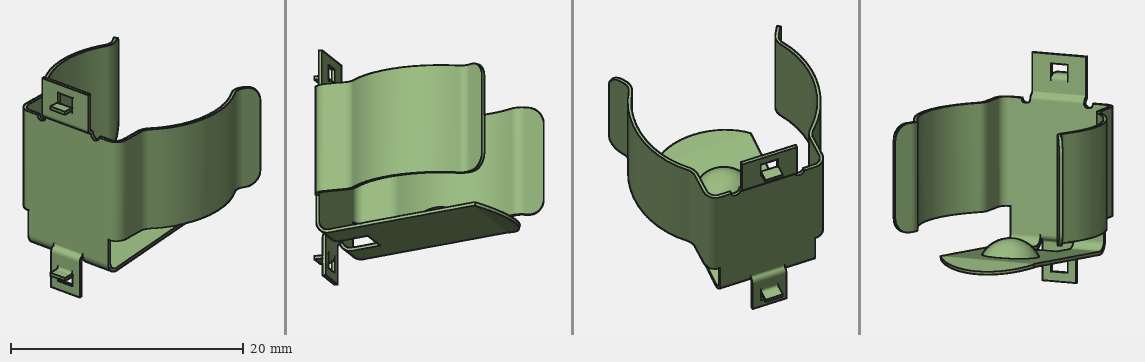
import cadquery as cq
import math

sheet = 0.3

plate_half_width = 4.43
plate_top = 9.56
plate_bottom = -2.35
notch_radius = 0.42

corner_radius = 0.8
arm_straight = 1.99
flare_angle = 45
flare_radius = 1.15
grip_radius = 8.03
grip_end_angle = 30
lead_in_angle = 30
waist_radius = 0.95
lead_in_length = 1.69
lead_in_corner_radius = 1.4

leaf_slope = 5
leaf_length = 13.2
leaf_fold_angle = 20
leaf_fold_radius = 0.35
leaf_tip_length = 2.25
slot_end_y = 3.74
dome_center_y = 9.76
dome_base_radius = 2.47
dome_height = 1.51

tab_top_end = 13.54
tab_bottom_end = -6.35
tab_top_width = 5.1
tab_bottom_width = 3.18
tab_flat_length = 3.35
tab_bend_radius = 0.25
tab_step_angle = 60
window_width = 1.61
window_height = 1.47
window_margin = 0.83
tongue_length = 0.78

tab_mean_radius = tab_bend_radius + sheet / 2
tab_step_rise = 2 * tab_mean_radius * math.sin(math.radians(tab_step_angle))
tab_step_depth = 2 * tab_mean_radius * (1 - math.cos(math.radians(tab_step_angle)))
tab_length = tab_step_rise + tab_flat_length
tab_top_root = tab_top_end - tab_length
tab_bottom_root = tab_bottom_end + tab_length


def left_of(point, heading, distance):
    """Point at a distance to the left of a heading in degrees."""
    angle = math.radians(heading)
    return (point[0] - distance * math.sin(angle), point[1] + distance * math.cos(angle))


def strip(plane, start, heading, moves, width, both=False):
    """Extrude a folded strip of sheet whose middle line begins at start with a heading.

    A move is (length, 0) for a flat stretch or (inside radius, turn) for a bend; turns to
    the left are positive. Returns the solid, then the end point and heading of its middle line.
    """
    half = sheet / 2
    stations = [(start, heading)]
    bend_middles = []
    for size, turn in moves:
        point, heading = stations[-1]
        if turn:
            mean_radius = math.copysign(size + half, turn)
            center = left_of(point, heading, mean_radius)
            middle = heading + turn / 2
            bend_middles.append((left_of(center, middle, -mean_radius), middle))
            stations.append((left_of(center, heading + turn, -mean_radius), heading + turn))
        else:
            bend_middles.append(None)
            stations.append((left_of(point, heading - 90, size), heading))

    def follow(profile, side, targets, middles):
        for target, middle in zip(targets, middles):
            if middle:
                profile = profile.threePointArc(left_of(*middle, side), left_of(*target, side))
            else:
                profile = profile.lineTo(*left_of(*target, side))
        return profile

    profile = cq.Workplane(plane).moveTo(*left_of(*stations[0], -half))
    profile = follow(profile, -half, stations[1:], bend_middles)
    profile = profile.lineTo(*left_of(*stations[-1], half))
    profile = follow(profile, half, stations[-2::-1], bend_middles[::-1])
    return profile.close().extrude(width, both=both), *stations[-1]


def block(width, y_range, z_range):
    """Box centered on X = 0 that fills the given Y and Z ranges."""
    depth = y_range[1] - y_range[0]
    height = z_range[1] - z_range[0]
    return (
        cq.Workplane("XY")
        .box(width, depth, height, centered=(True, False, False))
        .translate((0, y_range[0], z_range[0]))
    )


def back_plate():
    """Flat plate with a relief notch on each side of the upper tab."""
    plate = block(2 * plate_half_width, (0, sheet), (plate_bottom, plate_top))
    plate = plate.cut(block(tab_top_width, (0, sheet), (tab_top_root, plate_top)))
    plate = plate.cut(block(tab_bottom_width, (0, sheet), (plate_bottom, tab_bottom_root)))
    notch_x = tab_top_width / 2 + notch_radius
    notches = (
        cq.Workplane("XZ")
        .pushPoints([(-notch_x, plate_top), (notch_x, plate_top)])
        .circle(notch_radius)
        .extrude(-sheet)
    )
    return plate.cut(notches)


def right_arm():
    """Springy arm on the +X side: corner, flare, round grip, waist and lead-in lip."""
    moves = [
        (corner_radius, 90),
        (arm_straight, 0),
        (flare_radius, -flare_angle),
        (grip_radius, flare_angle + grip_end_angle),
        (waist_radius, -grip_end_angle - lead_in_angle),
        (lead_in_length, 0),
    ]
    arm, _, _ = strip("XY", (plate_half_width, sheet / 2), 0, moves, plate_top)
    return arm.faces(">Y").edges("not |Z").fillet(lead_in_corner_radius)


def contact_leaf():
    """Sloping leaf below the arms, with a bent-down round tip and a contact dome."""
    moves = [
        (corner_radius, 90 + leaf_slope),
        (leaf_length, 0),
        (leaf_fold_radius, -leaf_fold_angle),
    ]
    start = (sheet / 2, plate_bottom)
    leaf, tip_start, tip_heading = strip("YZ", start, -90, moves, plate_half_width, both=True)
    slot = block(tab_bottom_width, (0, slot_end_y), (tab_bottom_end, plate_bottom))
    leaf = leaf.cut(slot)

    tip_plane = cq.Plane(
        origin=(0, *left_of(tip_start, tip_heading, -sheet / 2)),
        xDir=(1, 0, 0),
        normal=(0, *left_of((0, 0), tip_heading, 1)),
    )
    tip = (
        cq.Workplane(tip_plane)
        .moveTo(-plate_half_width, 0)
        .threePointArc((0, leaf_tip_length), (plate_half_width, 0))
        .close()
        .extrude(sheet)
    )
    return leaf.union(tip).union(contact_dome())


def contact_dome():
    """Spherical cap standing square on the upper face of the leaf."""
    bend_center = (corner_radius + sheet, plate_bottom)
    leaf_face = left_of(bend_center, leaf_slope, -corner_radius)
    slope = math.radians(leaf_slope)
    base_z = leaf_face[1] + (dome_center_y - leaf_face[0]) * math.tan(slope)
    section_plane = cq.Plane(
        origin=(0, dome_center_y, base_z),
        xDir=(0, math.cos(slope), math.sin(slope)),
        normal=(1, 0, 0),
    )
    sphere_radius = (dome_base_radius**2 + dome_height**2) / (2 * dome_height)
    half_angle = math.asin(dome_base_radius / sphere_radius) / 2
    arc_middle = (
        sphere_radius * math.sin(half_angle),
        dome_height - sphere_radius * (1 - math.cos(half_angle)),
    )
    return (
        cq.Workplane(section_plane)
        .lineTo(dome_base_radius, 0)
        .threePointArc(arc_middle, (0, dome_height))
        .close()
        .revolve(360, (0, 0), (0, 1))
    )


def solder_tab(width):
    """Tab rising from Z = 0: a step back, then a flat with a window and its bent-out tongue."""
    moves = [
        (tab_bend_radius, tab_step_angle),
        (tab_bend_radius, -tab_step_angle),
        (tab_flat_length, 0),
    ]
    tab, _, _ = strip("YZ", (sheet / 2, 0), 90, moves, width / 2, both=True)
    window_top = tab_length - window_margin
    window_bottom = window_top - window_height
    window = block(window_width, (-tab_step_depth, sheet), (window_bottom, window_top))
    tongue_start = (sheet / 2 - tab_step_depth, window_bottom)
    tongue_moves = [(tab_bend_radius, 90), (tongue_length, 0)]
    tongue, _, _ = strip("YZ", tongue_start, 90, tongue_moves, window_width / 2, both=True)
    return tab.cut(window).union(tongue)


arm = right_arm()
top_tab = solder_tab(tab_top_width).translate((0, 0, tab_top_root))
bottom_tab = solder_tab(tab_bottom_width).mirror("XY").translate((0, 0, tab_bottom_root))

result = back_plate().union(arm).union(arm.mirror("YZ"))
result = result.union(contact_leaf()).union(top_tab).union(bottom_tab)